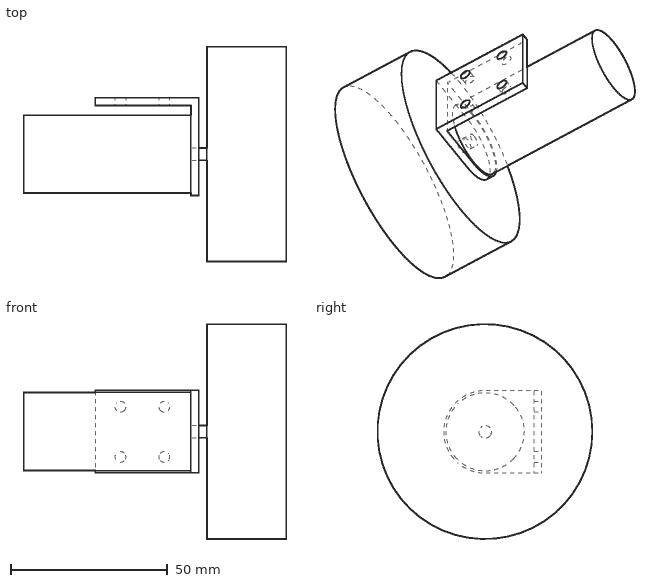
import cadquery as cq

total_length = 83.8

motor_diameter = 25.0
motor_length = 53.4
shaft_diameter = 4.0

wheel_diameter = 68.6
wheel_width = 25.4
wheel_start = total_length - wheel_width

bracket_thickness = 2.5
bracket_height = 26.4
bracket_length = 33.1
flange_outer_y = 18.0
bracket_front = motor_length + bracket_thickness
bracket_rear = bracket_front - bracket_length

mount_hole_diameter = 3.4
mount_hole_spacing_x = 14.0
mount_hole_spacing_z = 16.0
mount_hole_center_x = 37.8


def x_cylinder(diameter, start, length):
    """Solid cylinder on the X axis, beginning at X = start."""
    return cq.Workplane("YZ", origin=(start, 0, 0)).circle(diameter / 2).extrude(length)


def make_motor():
    """Motor can with its output shaft, which ends against the wheel."""
    can = x_cylinder(motor_diameter, 0, motor_length)
    shaft = x_cylinder(shaft_diameter, motor_length, wheel_start - motor_length)
    return can.union(shaft)


def make_bracket():
    """Face plate with one round end, a side flange, and the shaft and mounting holes."""
    half_height = bracket_height / 2
    face_plate = (
        cq.Workplane("YZ", origin=(motor_length, 0, 0))
        .moveTo(flange_outer_y, half_height)
        .lineTo(0, half_height)
        .threePointArc((-half_height, 0), (0, -half_height))
        .lineTo(flange_outer_y, -half_height)
        .close()
        .extrude(bracket_thickness)
    )
    flange = cq.Workplane("XY").box(
        bracket_length, bracket_thickness, bracket_height, centered=(False, False, True)
    ).translate((bracket_rear, flange_outer_y - bracket_thickness, 0))
    shaft_hole = x_cylinder(shaft_diameter, motor_length, bracket_thickness)
    mount_holes = (
        cq.Workplane("XZ", origin=(mount_hole_center_x, flange_outer_y, 0))
        .rarray(mount_hole_spacing_x, mount_hole_spacing_z, 2, 2)
        .circle(mount_hole_diameter / 2)
        .extrude(bracket_thickness)
    )
    return face_plate.union(flange).cut(shaft_hole).cut(mount_holes)


def make_wheel():
    """Plain solid wheel."""
    return x_cylinder(wheel_diameter, wheel_start, wheel_width)


motor = make_motor()
bracket = make_bracket()
wheel = make_wheel()

result = cq.Compound.makeCompound([motor.val(), bracket.val(), wheel.val()])